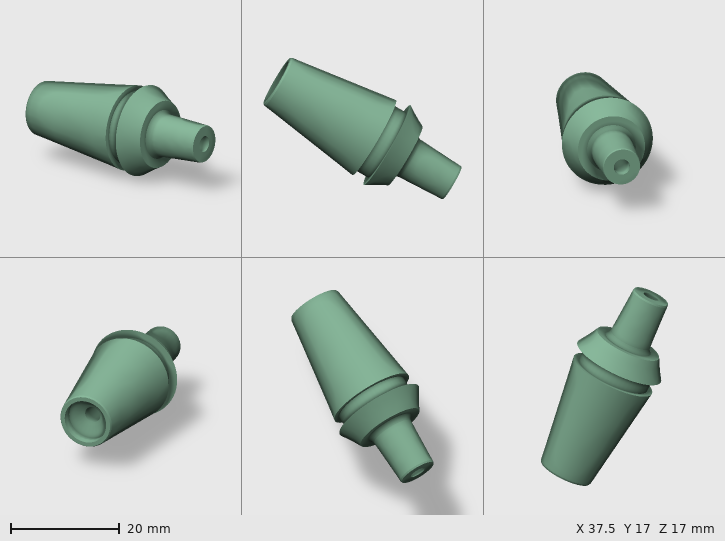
import cadquery as cq
import math

length = 37.5
nose_edge = 0.35
body_end = 20.8
flange_start = 23.55
flange_end = 27.45
stem_start = 28.42
stem_edge = 0.35

nose_face_radius = 4.9
nose_radius = 5.1
body_radius = 8.0
groove_radius = 6.95
flange_radius = 17.05 / 2
flange_back_radius = 6.3
flange_sag = 0.08
stem_root_radius = 4.58
stem_radius = 3.98
root_sag = 0.1
stem_tip_radius = 3.52
stem_face_radius = 3.4

socket_mouth_radius = 4.12
socket_floor_radius = 4.05
socket_depth = 2.0
drill_point_angle = 118.0
hole_radius = 1.5


def hollow_midpoint(start, end, sag):
    """Middle point of a concave arc, moved from its chord toward the axis."""
    dx = end[0] - start[0]
    dr = end[1] - start[1]
    chord = math.hypot(dx, dr)
    mid_x = (start[0] + end[0]) / 2 + sag * dr / chord
    mid_r = (start[1] + end[1]) / 2 - sag * dx / chord
    return mid_x, mid_r


def revolve_about_x(profile):
    return profile.close().revolve(360, (0, 0, 0), (1, 0, 0))


def make_outer_body():
    flange_rim = (flange_start, flange_radius)
    flange_back = (flange_end, flange_back_radius)
    root = (flange_end, stem_root_radius)
    stem = (stem_start, stem_radius)
    profile = (
        cq.Workplane("XY")
        .moveTo(0, 0)
        .lineTo(0, nose_face_radius)
        .lineTo(nose_edge, nose_radius)
        .lineTo(body_end, body_radius)
        .lineTo(body_end, groove_radius)
        .lineTo(flange_start, groove_radius)
        .lineTo(*flange_rim)
        .threePointArc(hollow_midpoint(flange_rim, flange_back, flange_sag), flange_back)
        .lineTo(*root)
        .threePointArc(hollow_midpoint(root, stem, root_sag), stem)
        .lineTo(length - stem_edge, stem_tip_radius)
        .lineTo(length, stem_face_radius)
        .lineTo(length, 0)
    )
    return revolve_about_x(profile)


def make_bore():
    half_angle = math.radians(drill_point_angle / 2)
    cone_depth = (socket_floor_radius - hole_radius) / math.tan(half_angle)
    profile = (
        cq.Workplane("XY")
        .moveTo(0, 0)
        .lineTo(0, socket_mouth_radius)
        .lineTo(socket_depth, socket_floor_radius)
        .lineTo(socket_depth + cone_depth, hole_radius)
        .lineTo(length, hole_radius)
        .lineTo(length, 0)
    )
    return revolve_about_x(profile)


result = make_outer_body().cut(make_bore())